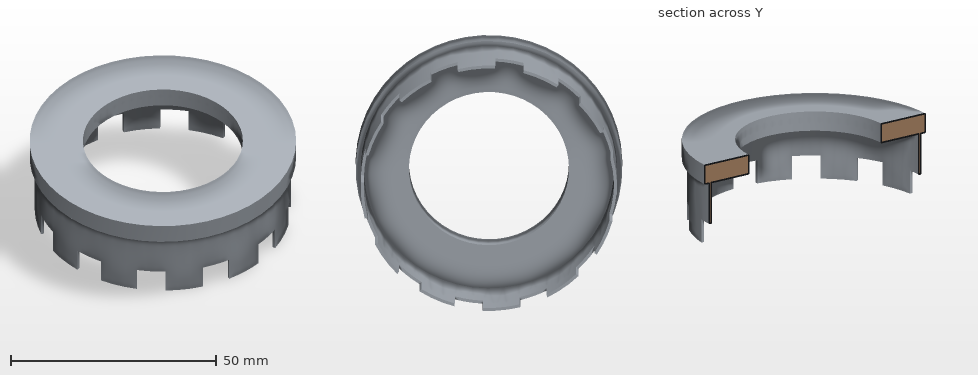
import cadquery as cq

total_height = 21.5
flange_diameter = 65.0
flange_thickness = 5.0
bore_diameter = 39.0

skirt_outer_diameter = 62.5
skirt_inner_diameter = 61.0
skirt_height = total_height - flange_thickness

tooth_count = 12
tooth_pitch_angle = 360.0 / tooth_count
slot_width = 7.0
slot_height = 6.0


def make_flange():
    """Flat ring at the top of the part."""
    return (
        cq.Workplane("XY")
        .workplane(offset=skirt_height)
        .circle(flange_diameter / 2)
        .circle(bore_diameter / 2)
        .extrude(flange_thickness)
    )


def make_skirt():
    """Thin cylindrical wall from the bottom, Z = 0, to the flange underside."""
    return (
        cq.Workplane("XY")
        .circle(skirt_outer_diameter / 2)
        .circle(skirt_inner_diameter / 2)
        .extrude(skirt_height)
    )


def cut_slots(skirt):
    """Cut one parallel-sided slot between each pair of teeth, the first on +X."""
    slot_length = flange_diameter / 2
    slot = cq.Workplane("XY").box(slot_length, slot_width, slot_height, centered=(False, True, False))
    for index in range(tooth_count):
        skirt = skirt.cut(slot.rotate((0, 0, 0), (0, 0, 1), index * tooth_pitch_angle))
    return skirt


result = make_flange().union(cut_slots(make_skirt()))